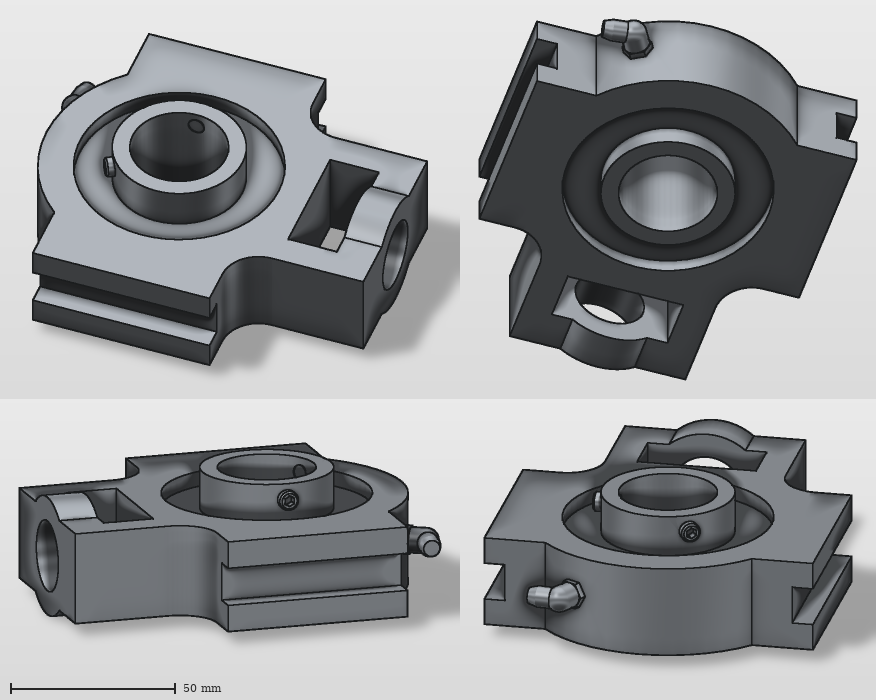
import cadquery as cq
import math


thickness = 28.3
arc_radius = 43.0
ear_half_length = 28.6
ear_half_width = 102.0 / 2
neck_half_width = 28.0
neck_fillet = 11.7
groove_width = 11.7
groove_depth = 6.4
slot_start_x = 42.1
slot_end_x = 57.8
slot_width = 36.9
boss_diameter = 36.9
boss_bore = 22.0

seat_diameter = 64.3
ring_diameter = 40.8
shaft_bore = 30.0
ring_top_z = 22.2
ring_bottom_z = -16.0
recess_depth = 4.7

screw_diameter = 6.0
screw_hole_diameter = 5.0
screw_z = 17.3
screw_start_radius = 15.2
screw_end_radius = 22.9
screw_chamfer = 0.6
screw_angles = (90, 210)
socket_across_corners = 3.4
socket_depth = 2.9

nipple_angle = 150
nipple_z = 1.9
nipple_bend = 67
nipple_diameter = 8.0
nipple_root_radius = 39.7
hex_end_radius = 44.9
elbow_radius = 49.5
stem_diameter = 6.5
stem_length = 6.7
tip_diameter = 5.0
tip_length = 2.8

total_length = 116.8
nipple_reach = nipple_diameter / 2 - elbow_radius * math.cos(math.radians(nipple_angle))
neck_end_x = total_length - nipple_reach


def cylinder_z(diameter, bottom, top):
    """Cylinder on the bore axis between two heights."""
    return cq.Workplane("XY", origin=(0, 0, bottom)).circle(diameter / 2).extrude(top - bottom)


def radial_plane(angle, radius, height, heading=None):
    """Plane at a polar position, its normal level and pointing along the heading."""
    heading = angle if heading is None else heading
    place = math.radians(angle)
    turn = math.radians(heading)
    return cq.Plane(
        origin=(radius * math.cos(place), radius * math.sin(place), height),
        xDir=(0, 0, 1),
        normal=(math.cos(turn), math.sin(turn), 0),
    )


def make_plate():
    """Plate with a round nose, two ears and a filleted neck."""
    shoulder_y = math.sqrt(arc_radius**2 - ear_half_length**2)
    plate = (
        cq.Workplane("XY", origin=(0, 0, -thickness / 2))
        .moveTo(-ear_half_length, shoulder_y)
        .lineTo(-ear_half_length, ear_half_width)
        .lineTo(ear_half_length, ear_half_width)
        .lineTo(ear_half_length, neck_half_width)
        .lineTo(neck_end_x, neck_half_width)
        .lineTo(neck_end_x, -neck_half_width)
        .lineTo(ear_half_length, -neck_half_width)
        .lineTo(ear_half_length, -ear_half_width)
        .lineTo(-ear_half_length, -ear_half_width)
        .lineTo(-ear_half_length, -shoulder_y)
        .threePointArc((-arc_radius, 0), (-ear_half_length, shoulder_y))
        .close()
        .extrude(thickness)
    )
    margin = neck_fillet / 10
    corners = cq.selectors.BoxSelector(
        (ear_half_length - margin, -neck_half_width - margin, -thickness),
        (ear_half_length + margin, neck_half_width + margin, thickness),
    )
    return plate.edges("|Z").edges(corners).fillet(neck_fillet)


def make_grooves():
    """Guide grooves along the outer faces of both ears."""
    return (
        cq.Workplane("XY")
        .pushPoints([(0, ear_half_width), (0, -ear_half_width)])
        .box(2 * ear_half_length, 2 * groove_depth, groove_width)
    )


def make_nipple():
    """Angled grease nipple: hexagon, elbow, stem and tapered tip."""
    heading = nipple_angle - nipple_bend
    root = radial_plane(nipple_angle, nipple_root_radius, nipple_z)
    elbow = radial_plane(nipple_angle, elbow_radius, nipple_z, heading)
    hexagon = (
        cq.Workplane(root)
        .polygon(6, nipple_diameter, circumscribed=True)
        .extrude(hex_end_radius - nipple_root_radius)
    )
    body = cq.Workplane(root).circle(nipple_diameter / 2).extrude(elbow_radius - nipple_root_radius)
    ball = cq.Workplane(elbow).sphere(nipple_diameter / 2)
    stem = (
        cq.Workplane(elbow)
        .circle(stem_diameter / 2)
        .extrude(stem_length)
        .faces(cq.selectors.DirectionMinMaxSelector(elbow.zDir, True))
        .workplane()
        .circle(stem_diameter / 2)
        .workplane(offset=tip_length)
        .circle(tip_diameter / 2)
        .loft(combine=True)
    )
    return hexagon.union(body).union(ball).union(stem)


def make_housing():
    neck_length = neck_end_x - slot_end_x
    boss_plane = cq.Workplane("YZ", origin=(slot_end_x, 0, 0))
    boss = boss_plane.circle(boss_diameter / 2).extrude(neck_length)
    bore = boss_plane.circle(boss_bore / 2).extrude(neck_length)
    slot = (
        cq.Workplane("XY")
        .center((slot_start_x + slot_end_x) / 2, 0)
        .rect(slot_end_x - slot_start_x, slot_width)
        .extrude(thickness, both=True)
    )
    seat = cylinder_z(seat_diameter, -thickness, thickness)
    plate = make_plate().cut(make_grooves()).cut(slot).cut(seat)
    return plate.union(boss).cut(bore).union(make_nipple())


def make_screw_hole(angle):
    """Radial hole from the bore axis to the outside of the ring."""
    return (
        cq.Workplane(radial_plane(angle, 0, screw_z))
        .circle(screw_hole_diameter / 2)
        .extrude(ring_diameter / 2)
    )


def make_screw(angle):
    """Set screw with a chamfered outer end and a hexagon socket."""
    screw = (
        cq.Workplane(radial_plane(angle, screw_start_radius, screw_z))
        .circle(screw_diameter / 2)
        .extrude(screw_end_radius - screw_start_radius)
        .faces(cq.selectors.DirectionMinMaxSelector(radial_plane(angle, 0, 0).zDir, True))
        .chamfer(screw_chamfer)
    )
    socket = (
        cq.Workplane(radial_plane(angle, screw_end_radius, screw_z))
        .polygon(6, socket_across_corners)
        .extrude(-socket_depth)
    )
    return screw, socket


def make_bearing():
    seat_half_width = thickness / 2 - recess_depth
    bearing = cylinder_z(ring_diameter, ring_bottom_z, ring_top_z)
    bearing = bearing.union(cylinder_z(seat_diameter, -seat_half_width, seat_half_width))
    bearing = bearing.cut(cylinder_z(shaft_bore, ring_bottom_z, ring_top_z))
    for angle in screw_angles:
        screw, socket = make_screw(angle)
        bearing = bearing.cut(make_screw_hole(angle)).union(screw).cut(socket)
    return bearing


housing = make_housing()
bearing = make_bearing()

result = cq.Compound.makeCompound([housing.val(), bearing.val()])